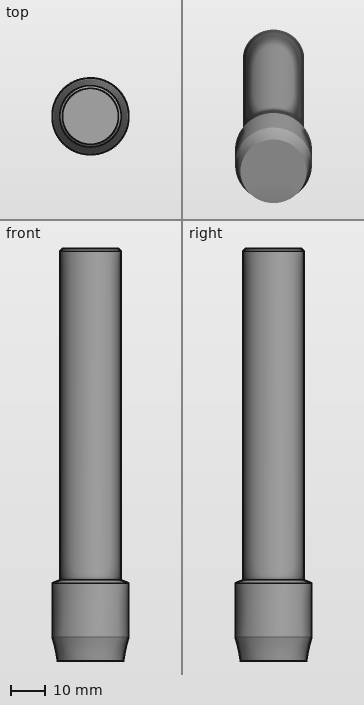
import cadquery as cq
import math

total_length = 119.1
pin_diameter = 17.75
pin_chamfer = 0.8

sleeve_diameter = 22.23
shoulder_z = 22.5
shoulder_angle = 23.0
nose_height = 7.1
nose_end_diameter = 19.1
nose_hollow = 0.15

pin_radius = pin_diameter / 2
sleeve_radius = sleeve_diameter / 2
nose_end_radius = nose_end_diameter / 2
shoulder_height = (sleeve_radius - pin_radius) * math.tan(math.radians(shoulder_angle))


def make_pin():
    """Round pin that runs the full length, chamfered at its top end."""
    blank = cq.Workplane("XY").circle(pin_radius).extrude(total_length)
    return blank.faces(">Z").chamfer(pin_chamfer)


def make_sleeve():
    """Sleeve around the pin's lower end; its shoulder rises to meet the pin's surface."""
    nose_middle_radius = (nose_end_radius + sleeve_radius) / 2 - nose_hollow
    profile = (
        cq.Workplane("XZ")
        .moveTo(pin_radius, 0)
        .lineTo(nose_end_radius, 0)
        .threePointArc((nose_middle_radius, nose_height / 2), (sleeve_radius, nose_height))
        .lineTo(sleeve_radius, shoulder_z)
        .lineTo(pin_radius, shoulder_z + shoulder_height)
        .close()
    )
    return profile.revolve(360, (0, 0, 0), (0, 1, 0))


pin = make_pin()
sleeve = make_sleeve()

result = cq.Compound.makeCompound([pin.val(), sleeve.val()])